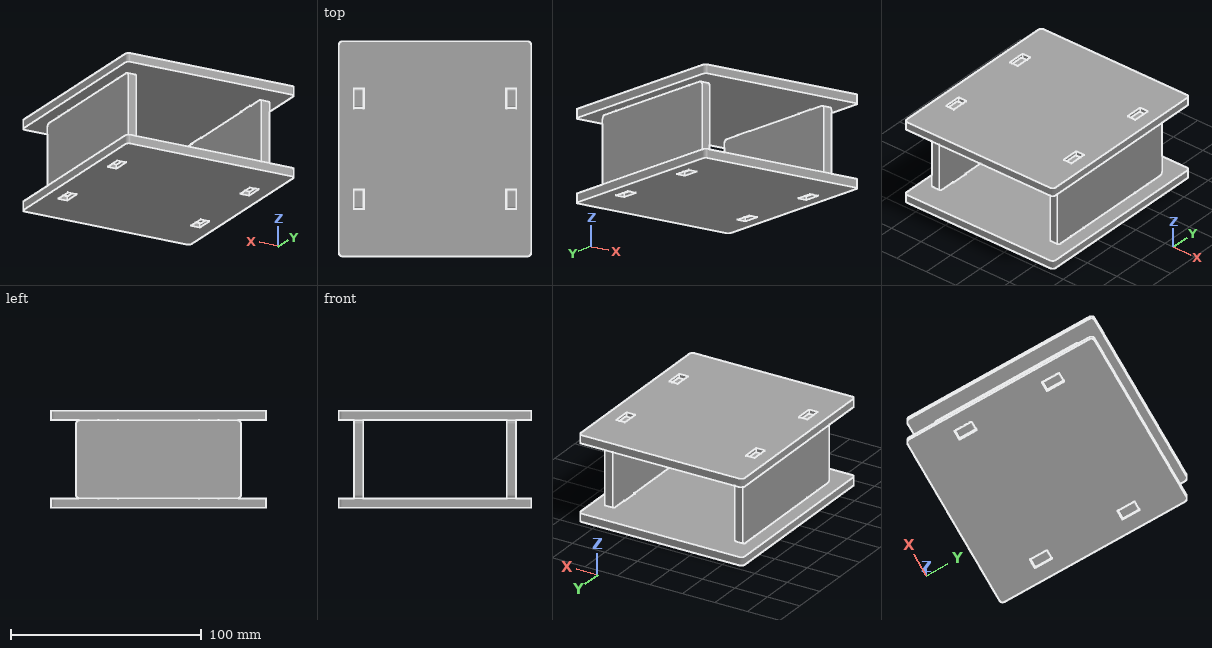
import cadquery as cq

WIDTH = 101.0
DEPTH = 113.0
HEIGHT = 51.0

PLATE_THICKNESS = 5.0
PLATE_CORNER_RADIUS = 2.0

PANEL_THICKNESS = 5.0
PANEL_LENGTH = 86.7
PANEL_CORNER_RADIUS = 1.9
PANEL_OUTER_SPAN = 85.1
PANEL_HEIGHT = HEIGHT - 2 * PLATE_THICKNESS
PANEL_CENTER_X = (PANEL_OUTER_SPAN - PANEL_THICKNESS) / 2

TAB_LENGTH = 10.1
TAB_HEIGHT = 3.0
TAB_CORNER_RADIUS = 1.1
TAB_PITCH = 52.9
SLOT_CLEARANCE = 0.3
SLOT_END_CLEARANCE = 0.3
SLOT_WIDTH = PANEL_THICKNESS + SLOT_CLEARANCE
SLOT_LENGTH = TAB_LENGTH + SLOT_END_CLEARANCE

SIDES = (-1, 1)
MID_HEIGHT = HEIGHT / 2


def make_plate(base_z):
    """Rounded plate with four tab slots through it."""
    plate = (
        cq.Workplane("XY")
        .box(WIDTH, DEPTH, PLATE_THICKNESS, centered=(True, True, False))
        .edges("|Z")
        .fillet(PLATE_CORNER_RADIUS)
    )
    slot_x = PANEL_CENTER_X - SLOT_CLEARANCE / 2
    slots = (
        cq.Workplane("XY")
        .rarray(2 * slot_x, TAB_PITCH, 2, 2)
        .rect(SLOT_WIDTH, SLOT_LENGTH)
        .extrude(PLATE_THICKNESS)
    )
    return plate.cut(slots).translate((0, 0, base_z))


def make_panel(center_x):
    """Upright panel with two round-cornered tabs on its top and bottom edges."""
    panel = (
        cq.Workplane("XY")
        .box(PANEL_THICKNESS, PANEL_LENGTH, PANEL_HEIGHT)
        .edges("|X")
        .fillet(PANEL_CORNER_RADIUS)
    )
    for tab_side in SIDES:
        tab_bar = (
            cq.Workplane("XY")
            .box(PANEL_THICKNESS, TAB_LENGTH, PANEL_HEIGHT + 2 * TAB_HEIGHT)
            .edges("|X")
            .fillet(TAB_CORNER_RADIUS)
            .translate((0, tab_side * TAB_PITCH / 2, 0))
        )
        panel = panel.union(tab_bar)
    return panel.translate((center_x, 0, MID_HEIGHT))


bottom_plate = make_plate(0)
top_plate = make_plate(HEIGHT - PLATE_THICKNESS)
panels = [make_panel(side * PANEL_CENTER_X) for side in SIDES]

result = cq.Compound.makeCompound(
    [bottom_plate.val(), top_plate.val(), *[panel.val() for panel in panels]]
)